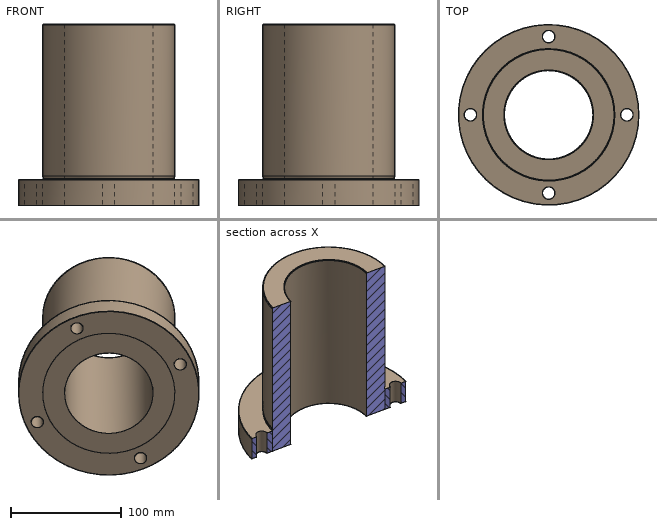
import cadquery as cq

total_height = 164.8
flange_diameter = 163.8
flange_thickness = 23.7
sleeve_diameter = 120.1
bore_diameter = 80.1

sleeve_chamfer = 0.8
bore_chamfer = 0.7
flange_chamfer = 0.3

groove_depth = 0.7
groove_taper_height = 2.0
groove_flare = 0.5
groove_flare_height = 1.2

bolt_hole_count = 4
bolt_hole_diameter = 11.0
bolt_circle_diameter = 141.9

sleeve_radius = sleeve_diameter / 2
bore_radius = bore_diameter / 2
neck_radius = sleeve_radius - groove_depth
seat_radius = neck_radius + groove_flare
neck_level = flange_thickness + groove_flare_height
groove_top = neck_level + groove_taper_height


def make_sleeve():
    """Bored tube whose lower end sits in the flange, with a relief groove above the seat."""
    profile = (
        cq.Workplane("XZ")
        .moveTo(bore_radius, 0)
        .lineTo(seat_radius, 0)
        .lineTo(seat_radius, flange_thickness)
        .lineTo(neck_radius, neck_level)
        .lineTo(sleeve_radius, groove_top)
        .lineTo(sleeve_radius, total_height - sleeve_chamfer)
        .lineTo(sleeve_radius - sleeve_chamfer, total_height)
        .lineTo(bore_radius + bore_chamfer, total_height)
        .lineTo(bore_radius, total_height - bore_chamfer)
        .close()
    )
    return profile.revolve(360, (0, 0, 0), (0, 1, 0))


def make_flange():
    """Round ring with chamfered rims, a through seat for the sleeve and a circle of bolt holes."""
    disc = (
        cq.Workplane("XY")
        .circle(flange_diameter / 2)
        .extrude(flange_thickness)
        .faces("<Z or >Z")
        .edges()
        .chamfer(flange_chamfer)
    )
    seat = cq.Workplane("XY").circle(seat_radius).extrude(flange_thickness)
    bolt_holes = (
        cq.Workplane("XY")
        .polarArray(bolt_circle_diameter / 2, 0, 360, bolt_hole_count)
        .circle(bolt_hole_diameter / 2)
        .extrude(flange_thickness)
    )
    return disc.cut(seat).cut(bolt_holes)


sleeve = make_sleeve()
flange = make_flange()

result = cq.Compound.makeCompound([sleeve.val(), *flange.vals()])